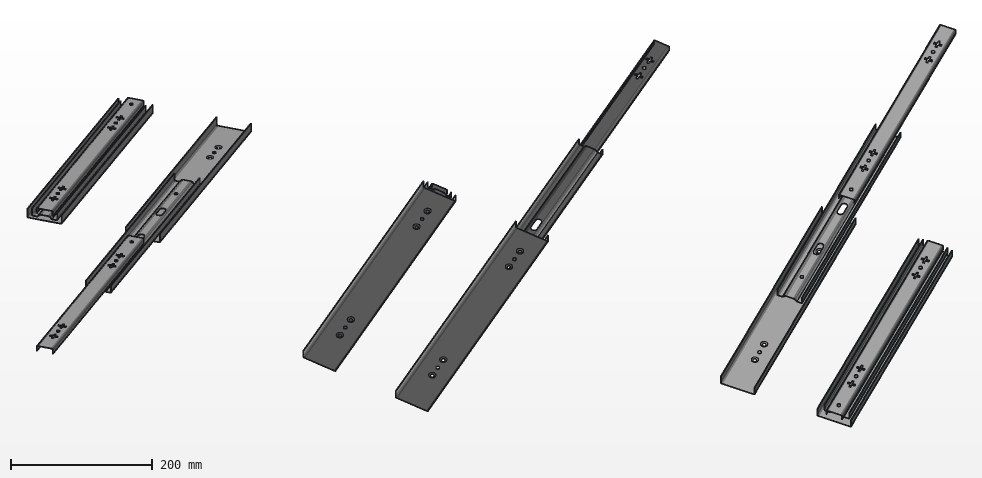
import cadquery as cq
import math

total_length = 727
slide_pitch = 149.0
rear_y = total_length / 2
rail_length = 350.0
carrier_length = 340.0

closed_carrier_travel = rail_length - carrier_length
closed_inner_travel = 0
open_carrier_travel = 180.0
open_inner_travel = total_length - rail_length

slide_height = 19.0
sheet = 1.15
bend_radius = 1.1

outer_width = 53.0
outer_height = 14.5

carrier_width = 39.0
carrier_bottom = 4.0
carrier_height = 12.0
crown_rise = 4.0
crown_slope = 45
crown_foot_width = 22.5
crown_strip_width = 27.5
crown_bend_radius = 3.5
slot_length = 22
slot_width = 9.5

inner_width = 25.5
inner_height = 9.0
cross_length = 11.5
cross_arm_width = 2.55

stop_hole_place = 16.0
carrier_hole_place = 42.0
slot_places = (99.5, 182)
group_places = (75.5, 299.0)
screw_spacing = 16.0
screw_places = [place + side * screw_spacing for place in group_places for side in (-1, 1)]
hole_diameter = 5.0
countersink_diameter = 10.0


def block(width, height, length):
    """Block running forward from Y = 0, standing on Z = 0."""
    plain = cq.Workplane("XY").box(width, length, height, centered=(True, True, False))
    return plain.translate((0, -length / 2, 0))


def channel(width, height, length):
    """Upright U-channel running forward from Y = 0, standing on Z = 0."""
    body = block(width, height, length).edges("|Y and <Z").fillet(bend_radius + sheet)
    hollow = block(width - 2 * sheet, height, length).edges("|Y and <Z").fillet(bend_radius)
    return body.cut(hollow.translate((0, 0, sheet)))


def along_rail(places):
    """Workplane with a point on the centre line at each distance from the rear end."""
    return cq.Workplane("XY").pushPoints([(0, -place) for place in places])


def round_holes(places):
    return along_rail(places).circle(hole_diameter / 2).extrude(slide_height)


def countersinks():
    """Cones that narrow from the floor's upper face to the hole diameter at its underside."""
    flare = (countersink_diameter - hole_diameter) / 2
    taper = -math.degrees(math.atan(flare / sheet))
    return along_rail(screw_places).circle(hole_diameter / 2).extrude(sheet, taper=taper)


def crosses():
    lengthwise = along_rail(screw_places).rect(cross_arm_width, cross_length).extrude(slide_height)
    crosswise = along_rail(screw_places).rect(cross_length, cross_arm_width).extrude(slide_height)
    return lengthwise.union(crosswise)


def crowned_slab(foot_width, crest_radius):
    """Slab with its upper face on Z = 0 and a ridge on it with sloping sides and a rounded crest."""
    foot = foot_width / 2
    crest = foot - crown_rise / math.tan(math.radians(crown_slope))
    edge = crown_strip_width / 2
    outline = [(-edge, -sheet), (-edge, 0), (-foot, 0), (-crest, crown_rise)]
    outline += [(-x, z) for x, z in reversed(outline)]
    body = cq.Workplane("XZ").polyline(outline).close().extrude(carrier_length)
    return body.edges("|Y and >Z").fillet(crest_radius)


def outer_channel():
    body = channel(outer_width, outer_height, rail_length)
    return body.cut(round_holes(group_places)).cut(countersinks())


def carrier():
    inset = sheet * math.tan(math.radians(crown_slope / 2))
    upper_side = crowned_slab(crown_foot_width, crown_bend_radius)
    lower_side = crowned_slab(crown_foot_width - 2 * inset, crown_bend_radius - sheet)
    crown = upper_side.translate((0, 0, sheet)).cut(lower_side)
    slots = along_rail(slot_places).slot2D(slot_length, slot_width, 90).extrude(slide_height)
    body = channel(carrier_width, carrier_height, carrier_length)
    body = body.cut(block(crown_strip_width, sheet, carrier_length)).union(crown)
    body = body.cut(round_holes([carrier_hole_place])).cut(slots)
    return body.translate((0, 0, carrier_bottom))


def inner_rail():
    body = channel(inner_width, inner_height, rail_length).mirror("XY")
    body = body.translate((0, 0, inner_height))
    body = body.cut(round_holes([stop_hole_place, *group_places])).cut(crosses())
    return body.translate((0, 0, slide_height - inner_height))


def slide(center_x, carrier_travel, inner_travel):
    """The three bodies of one slide."""
    return [
        outer_channel().translate((center_x, rear_y, 0)).val(),
        carrier().translate((center_x, rear_y - carrier_travel, 0)).val(),
        inner_rail().translate((center_x, rear_y - inner_travel, 0)).val(),
    ]


closed_slide = slide(-slide_pitch / 2, closed_carrier_travel, closed_inner_travel)
open_slide = slide(slide_pitch / 2, open_carrier_travel, open_inner_travel)
result = cq.Compound.makeCompound([*closed_slide, *open_slide])